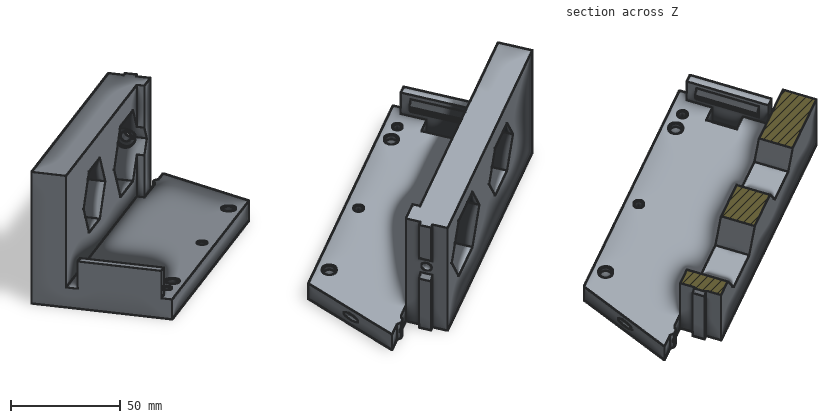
import cadquery as cq
import math

length = 143.6
width = 67.0
height = 65.0

wall_thickness = 16.5
wall_length = 123.5
pad_thickness = 20.1
pad_start = 113.6

floor_thickness = 9.9

key_depth = 1.5
key_y = 133.7
key_root_width = 5.6
key_crest_width = 2.2
pin_hole_diameter = 3.5

tongue_x = 10.2
tongue_width = 5.7
tongue_depth = 2.2
notch_width = 12.9

window_z = 37.5
windows = ((97.4, 40.4), (45.5, 34.8))

screw_diameter = 4.9
screw_head_diameter = 9.5
screw_seat_length = 6.5

plate_x = 22.0
plate_width = 39.9
plate_thickness = 4.2
plate_height = 23.4
catch_width = 30.5
catch_depth = 1.9
catch_slope = 60.0
catch_crest_height = 1.5
opening_width = 15.0
opening_end = 12.0

hole_x = 60.7
hole_chamfer = 0.5
through_hole_diameter = 4.0
through_hole_y = (12.6, 69.2)
magnet_diameter = 6.0
magnet_depth = 2.9
magnet_y = (21.4, 112.0)


def block(x, y, z, dx, dy, dz):
    """Box given by its lowest corner and its size."""
    return cq.Workplane("XY").box(dx, dy, dz, centered=False).translate((x, y, z))


def cylinder_y(x, z, y_start, y_end, diameter):
    """Cylinder along +Y."""
    plane = cq.Plane(origin=(x, y_start, z), xDir=(1, 0, 0), normal=(0, 1, 0))
    return cq.Workplane(plane).circle(diameter / 2).extrude(y_end - y_start)


def make_floor():
    root = key_root_width / 2
    crest = key_crest_width / 2
    outline = [
        (0, 0),
        (width, 0),
        (width, wall_length),
        (pad_thickness, length),
        (pad_thickness, key_y + root),
        (pad_thickness - key_depth, key_y + crest),
        (pad_thickness - key_depth, key_y - crest),
        (pad_thickness, key_y - root),
        (pad_thickness, wall_length),
        (0, wall_length),
    ]
    return cq.Workplane("XY").polyline(outline).close().extrude(floor_thickness)


def make_wall():
    wall = block(0, 0, 0, wall_thickness, wall_length, height)
    pad = block(0, pad_start, 0, pad_thickness, wall_length - pad_start, height)
    return wall.union(pad)


def make_tongue():
    end = wall_length + tongue_depth
    half_root = notch_width / 2 - tongue_depth
    half_mouth = notch_width / 2
    tongue = block(tongue_x - tongue_width / 2, wall_length, 0, tongue_width, tongue_depth, height)
    notch = (
        cq.Workplane("YZ")
        .polyline([
            (wall_length, window_z - half_root),
            (end, window_z - half_mouth),
            (end, window_z + half_mouth),
            (wall_length, window_z + half_root),
        ])
        .close()
        .extrude(wall_thickness)
    )
    return tongue.cut(notch)


def make_clip():
    plate = block(plate_x, 0, 0, plate_width, plate_thickness, plate_height)
    catch_start = plate_x + (plate_width - catch_width) / 2
    catch_z = (floor_thickness + plate_height) / 2
    crest_y = plate_thickness + catch_depth
    half_crest = catch_crest_height / 2
    half_root = half_crest + catch_depth * math.tan(math.radians(catch_slope))
    catch = (
        cq.Workplane("YZ", origin=(catch_start, 0, 0))
        .polyline([
            (plate_thickness, catch_z - half_root),
            (crest_y, catch_z - half_crest),
            (crest_y, catch_z + half_crest),
            (plate_thickness, catch_z + half_root),
        ])
        .close()
        .extrude(catch_width)
    )
    return plate.union(catch)


def make_windows():
    cutters = cq.Workplane("YZ")
    for y, corner_size in windows:
        hexagon = cq.Workplane("YZ").center(y, window_z).polygon(6, corner_size).extrude(pad_thickness)
        cutters = cutters.add(hexagon)
    return cutters.combine()


def make_screw_hole():
    start = windows[0][0]
    bore = cylinder_y(tongue_x, window_z, start, wall_length, screw_diameter)
    head = cylinder_y(tongue_x, window_z, start, wall_length - screw_seat_length, screw_head_diameter)
    return bore.union(head)


def floor_holes(y_places, diameter, depth):
    """Vertical holes sunk from the floor's upper face, with chamfered mouths."""
    radius = diameter / 2
    mouth = radius + hole_chamfer
    profile = [
        (0, floor_thickness),
        (mouth, floor_thickness),
        (radius, floor_thickness - hole_chamfer),
        (radius, floor_thickness - depth),
        (0, floor_thickness - depth),
    ]
    hole = cq.Workplane("XZ").polyline(profile).close().revolve(360, (0, 0), (0, 1))
    cutters = cq.Workplane("XY")
    for y in y_places:
        cutters = cutters.add(hole.translate((hole_x, y, 0)))
    return cutters.combine()


def make_opening():
    start_x = plate_x + (plate_width - opening_width) / 2
    return block(start_x, plate_thickness, 0, opening_width, opening_end - plate_thickness, floor_thickness)


def make_pin_hole():
    return (
        cq.Workplane("YZ")
        .center(key_y, floor_thickness / 2)
        .circle(pin_hole_diameter / 2)
        .extrude(width)
        .intersect(block(0, wall_length, 0, width, length - wall_length, floor_thickness))
    )


body = make_floor().union(make_wall()).union(make_tongue()).union(make_clip())
result = (
    body.cut(make_windows())
    .cut(make_screw_hole())
    .cut(floor_holes(through_hole_y, through_hole_diameter, floor_thickness))
    .cut(floor_holes(magnet_y, magnet_diameter, magnet_depth))
    .cut(make_opening())
    .cut(make_pin_hole())
)